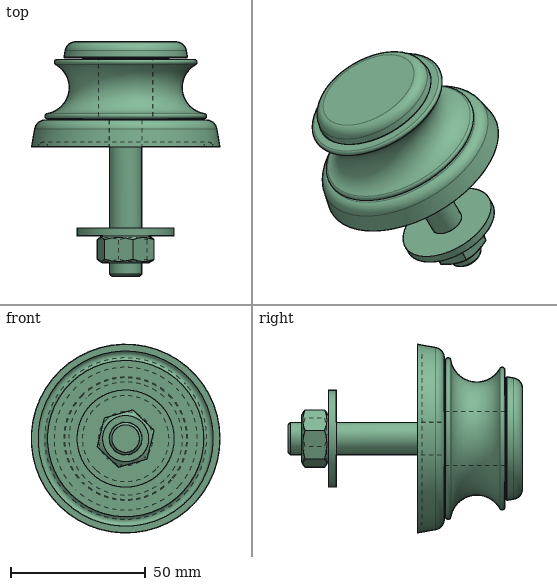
import cadquery as cq
import math


RIM_TAPER = 10.0
RIM_ROUND = 4.0
CAP_DIAMETER = 46.0
CAP_THICKNESS = 6.1
CAP_EDGE_CHAMFER = 0.4
BASE_DIAMETER = 70.0
BASE_THICKNESS = 10.0
BASE_GROOVE_DIAMETER = 61.4
BASE_GROOVE_RADIUS = 1.75
BASE_HOLE_DIAMETER = 12.25

HUB_DIAMETER = 20.0
ROLLER_BORE_DIAMETER = 20.1
ROLLER_BOSS_DIAMETER = 32.0
ROLLER_BOSS_HEIGHT = 0.2
CAP_GAP = 0.5
BASE_GAP = 0.4
FLANGE_THICKNESS = 2.0
CAP_FLANGE_DIAMETER = 53.0
BASE_FLANGE_DIAMETER = 60.0
WAIST_DIAMETER = 42.0
WAIST_ROUND = 9.76

BOLT_DIAMETER = 12.0
BOLT_CHAMFER = 0.9
CLAMP_LENGTH = 30.0
WASHER_DIAMETER = 36.0
WASHER_THICKNESS = 3.0
NUT_SIDES = 6
NUT_ACROSS_FLATS = 19.0
NUT_HEIGHT = 10.0
NUT_FACE_DIAMETER = 0.9 * NUT_ACROSS_FLATS
NUT_CHAMFER_ANGLE = 30.0
NUT_TURN = 16.0
BOLT_END_LENGTH = 5.0

flange_round = FLANGE_THICKNESS / 2
waist_center_radius = WAIST_DIAMETER / 2 + WAIST_ROUND
cap_rim_radius = CAP_FLANGE_DIAMETER / 2 - flange_round
base_rim_radius = BASE_FLANGE_DIAMETER / 2 - flange_round


def waist_to_rim(rim_radius):
    """Axial distance from the waist center to a rim center when the two arcs touch."""
    return math.sqrt((WAIST_ROUND + flange_round) ** 2 - (waist_center_radius - rim_radius) ** 2)


roller_start = -(CAP_THICKNESS + CAP_GAP)
cap_rim_y = roller_start - flange_round
waist_y = cap_rim_y - waist_to_rim(cap_rim_radius)
base_rim_y = waist_y - waist_to_rim(base_rim_radius)
roller_end = base_rim_y - flange_round
base_start = roller_end - BASE_GAP
base_end = base_start - BASE_THICKNESS
washer_start = base_end - CLAMP_LENGTH
nut_start = washer_start - WASHER_THICKNESS
nut_end = nut_start - NUT_HEIGHT
bolt_end = nut_end - BOLT_END_LENGTH


def revolve_about_y(profile):
    """Turn a closed profile, drawn as (radius, y), about the Y axis."""
    return profile.close().revolve(360, (0, 0, 0), (0, 1, 0))


def disc(diameter, start, end):
    """Cylinder on the Y axis between two stations, start being the larger Y."""
    return cq.Workplane("XZ", origin=(0, start, 0)).circle(diameter / 2).extrude(start - end)


def tapered_disc(diameter, start, thickness):
    """Disc that narrows toward +Y and has its +Y edge rounded."""
    wide_radius = diameter / 2
    narrow_radius = wide_radius - thickness * math.tan(math.radians(RIM_TAPER))
    end = start - thickness
    plain = revolve_about_y(
        cq.Workplane("XY")
        .moveTo(0, start)
        .lineTo(narrow_radius, start)
        .lineTo(wide_radius, end)
        .lineTo(0, end)
    )
    return plain.faces(">Y").edges().fillet(RIM_ROUND)


def make_cap():
    cap = tapered_disc(CAP_DIAMETER, 0, CAP_THICKNESS)
    return cap.faces("<Y").edges().chamfer(CAP_EDGE_CHAMFER)


def make_base():
    """Base plate with a clearance hole for the bolt and a half-round ring groove in its outer face."""
    groove = (
        cq.Workplane("XY")
        .center(BASE_GROOVE_DIAMETER / 2, base_end)
        .circle(BASE_GROOVE_RADIUS)
        .revolve(360, (-BASE_GROOVE_DIAMETER / 2, 0, 0), (-BASE_GROOVE_DIAMETER / 2, 1, 0))
    )
    bolt_hole = disc(BASE_HOLE_DIAMETER, base_start, base_end)
    return tapered_disc(BASE_DIAMETER, base_start, BASE_THICKNESS).cut(groove).cut(bolt_hole)


def make_nut():
    """Hexagon nut blank with a conical chamfer on both faces."""
    corner_diameter = NUT_ACROSS_FLATS / math.cos(math.pi / NUT_SIDES)
    face_radius = NUT_FACE_DIAMETER / 2
    corner_radius = corner_diameter / 2
    cone_height = (corner_radius - face_radius) * math.tan(math.radians(NUT_CHAMFER_ANGLE))
    hexagon = (
        cq.Workplane("XZ", origin=(0, nut_start, 0))
        .polygon(NUT_SIDES, corner_diameter)
        .extrude(NUT_HEIGHT)
        .rotate((0, 0, 0), (0, 1, 0), -NUT_TURN)
    )
    envelope = revolve_about_y(
        cq.Workplane("XY")
        .moveTo(0, nut_start)
        .lineTo(face_radius, nut_start)
        .lineTo(corner_radius, nut_start - cone_height)
        .lineTo(corner_radius, nut_end + cone_height)
        .lineTo(face_radius, nut_end)
        .lineTo(0, nut_end)
    )
    return hexagon.intersect(envelope)


def make_carrier():
    """Fixed body: cap, hub and base plate with the bolt, washer and nut."""
    hub = disc(HUB_DIAMETER, -CAP_THICKNESS, base_start)
    bolt = disc(BOLT_DIAMETER, base_start, bolt_end).faces("<Y").edges().chamfer(BOLT_CHAMFER)
    washer = disc(WASHER_DIAMETER, washer_start, nut_start)
    return make_cap().union(hub).union(make_base()).union(bolt).union(washer).union(make_nut())


def make_roller():
    """Waisted roller with a round-edged flange and a low bearing boss at each end."""
    bore_radius = ROLLER_BORE_DIAMETER / 2
    boss_radius = ROLLER_BOSS_DIAMETER / 2
    boss_start = roller_start + ROLLER_BOSS_HEIGHT
    boss_end = roller_end - ROLLER_BOSS_HEIGHT

    def touch_point(rim_radius, rim_y):
        """Point where the rim arc runs into the waist arc."""
        share = flange_round / (flange_round + WAIST_ROUND)
        return (
            rim_radius + share * (waist_center_radius - rim_radius),
            rim_y + share * (waist_y - rim_y),
        )

    return revolve_about_y(
        cq.Workplane("XY")
        .moveTo(bore_radius, boss_start)
        .lineTo(boss_radius, boss_start)
        .lineTo(boss_radius, roller_start)
        .lineTo(cap_rim_radius, roller_start)
        .threePointArc(
            (CAP_FLANGE_DIAMETER / 2, cap_rim_y),
            touch_point(cap_rim_radius, cap_rim_y),
        )
        .threePointArc(
            (WAIST_DIAMETER / 2, waist_y),
            touch_point(base_rim_radius, base_rim_y),
        )
        .threePointArc(
            (BASE_FLANGE_DIAMETER / 2, base_rim_y),
            (base_rim_radius, roller_end),
        )
        .lineTo(boss_radius, roller_end)
        .lineTo(boss_radius, boss_end)
        .lineTo(bore_radius, boss_end)
    )


carrier = make_carrier()
roller = make_roller()

result = cq.Compound.makeCompound([carrier.val(), roller.val()])